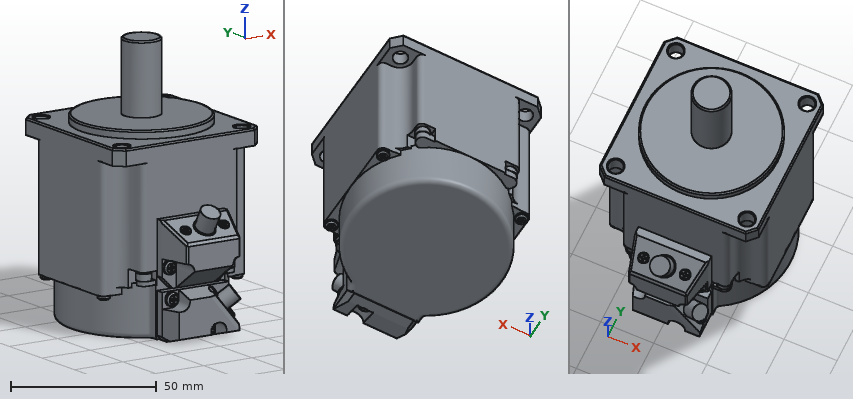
import cadquery as cq
import math

FLANGE_WIDTH = 60.0
HALF = FLANGE_WIDTH / 2
TOTAL_HEIGHT = 99.5

EMBED = 1.0
POSITION_TOLERANCE = 0.1

SHAFT_R = 7.0
PILOT_R = 25.0
PILOT_TOP = 72.4
FLANGE_TOP = 69.5
FLANGE_BOTTOM = 63.4
FLANGE_CORNER = 3.4
EDGE_CHAMFER = 0.6
BOLT_OFFSET = 24.8
BOLT_HOLE_R = 2.7
BOLT_HOLE_CHAMFER = 0.4
COUNTERSINK_ANGLE = 90.0

CORNER_WALL = 20.2
SCALLOP_OUTER_R = 2.2
SCALLOP_INNER_R = 5.3
HOUSING_BOTTOM = 18.2
SIDE_BOTTOM = 15.7
SIDE_HALF = 20.4
STRIP_BOTTOM = 19.7
POCKET_WALL = 22.9
POCKET_INNER_X = 13.9
POCKET_FLOOR = 21.4
POCKET_TOP = 24.8
EAR_R = 2.5

CAN_FILLET = 2.0
PAD_HALF = 14.2
PAD_FILLET = 1.5

CAP_SCREW_R = 2.7
CAP_SCREW_HEIGHT = 3.0
CAP_SCREW_CHAMFER = 0.3
CAP_SCREW_X = 17.2
CAP_SCREW_Y = 27.0
SIDE_SCREW_R = 2.2
SIDE_SCREW_HEIGHT = 1.6
SIDE_SCREW_X = 27.5
SIDE_SCREW_Y = 17.6
COVER_SCREW_R = 2.5
COVER_SCREW_HEIGHT = 1.8
CLAMP_SCREW_R = 1.9
CLAMP_SCREW_HEIGHT = 0.8
SCREW_CLEARANCE = 0.7

CONNECTOR_WIDTH = 27.6
CONNECTOR_HALF = CONNECTOR_WIDTH / 2
PLATE_THICKNESS = 3.1
SEAT_Y = -HALF - PLATE_THICKNESS

POWER_TOP = 43.1
POWER_BOTTOM = 18.6
POWER_FRONT_Y = -44.4
POWER_FRONT_HALF = 10.9
POWER_FRONT_BOTTOM = 26.6
POWER_NECK_HALF = 8.0
POWER_CORNER = 4.4
POWER_EDGE = 0.8
POWER_FRONT_EDGE = 0.5
POWER_TILT = 30.0
POWER_SCREW_X = 11.0
POWER_SCREW_Z = 26.4
POWER_CABLE_R = 3.6
POWER_CABLE_LENGTH = 7.4
POWER_COLLAR_R = 4.0
POWER_COLLAR_HEIGHT = 0.3
POWER_CABLE_Y = -38.7
POWER_CLAMP_X = 7.9

ENCODER_TOP = 17.8
ENCODER_FRONT_Y = -40.0
ENCODER_FRONT_LEFT = -11.4
ENCODER_FRONT_TOP = 15.5
ENCODER_FRONT_BOTTOM = 2.0
ENCODER_CORNER = 2.0
ENCODER_TURN = 40.0
ENCODER_LEAN = 20.0
ENCODER_EDGE_X = 1.7
ENCODER_BEVEL = 1.9
ENCODER_BEVEL_DEPTH = 0.5
ENCODER_SCREWS = [(-10.0, 15.0), (5.1, 2.8)]
ENCODER_CABLE_R = 3.2
ENCODER_CABLE_LENGTH = 5.8
ENCODER_CABLE_Y = -35.9
ENCODER_CABLE_X = 9.0
ENCODER_CLAMP_OFFSET = 5.5


def block(x0, x1, y0, y1, z0, z1):
    """Axis-aligned box between two opposite corners, given in any order."""
    size = (abs(x1 - x0), abs(y1 - y0), abs(z1 - z0))
    corner = (min(x0, x1), min(y0, y1), min(z0, z1))
    return cq.Workplane("XY").box(*size, centered=False).translate(corner)


def front_plane(y):
    """Plane at the given y that faces -Y, with local axes along +X and +Z."""
    return cq.Plane(origin=(0, y, 0), xDir=(1, 0, 0), normal=(0, -1, 0))


def trim(body, point, normal):
    """Remove everything on the normal side of a plane."""
    reach = 199.0
    plane = cq.Plane(origin=point, normal=normal)
    return body.cut(cq.Workplane(plane).rect(reach, reach).extrude(reach))


def screw(plane, radius, height):
    """Chamfered screw head with a cross recess, standing on the plane."""
    slot_length = 1.1 * radius
    slot_width = 0.3 * radius
    slot_depth = 0.4 * height
    rim_chamfer = 0.4 * height
    head = cq.Workplane(plane).workplane(offset=-EMBED / 2).circle(radius).extrude(height + EMBED / 2)
    head = head.faces(cq.selectors.DirectionMinMaxSelector(plane.zDir, True)).edges().chamfer(rim_chamfer)
    top = cq.Workplane(plane).workplane(offset=height - slot_depth)
    for length, width in ((slot_length, slot_width), (slot_width, slot_length)):
        head = head.cut(top.rect(length, width).extrude(height))
    return head


def shaft_and_flange():
    shaft = cq.Workplane("XY").workplane(offset=FLANGE_TOP - EMBED).circle(SHAFT_R)
    shaft = shaft.extrude(TOTAL_HEIGHT - FLANGE_TOP + EMBED).faces(">Z").chamfer(EDGE_CHAMFER)
    pilot = cq.Workplane("XY").workplane(offset=FLANGE_TOP - EMBED).circle(PILOT_R)
    pilot = pilot.extrude(PILOT_TOP - FLANGE_TOP + EMBED).faces(">Z").chamfer(EDGE_CHAMFER)
    flange = cq.Workplane("XY").workplane(offset=FLANGE_BOTTOM).rect(2 * HALF, 2 * HALF)
    flange = flange.extrude(FLANGE_TOP - FLANGE_BOTTOM).edges("|Z").chamfer(FLANGE_CORNER)
    flange = flange.faces(">Z").chamfer(EDGE_CHAMFER)
    flange = (
        flange.faces(">Z").workplane(origin=(0, 0, FLANGE_TOP))
        .rect(2 * BOLT_OFFSET, 2 * BOLT_OFFSET, forConstruction=True).vertices()
        .cskHole(2 * BOLT_HOLE_R, 2 * (BOLT_HOLE_R + BOLT_HOLE_CHAMFER), COUNTERSINK_ANGLE)
    )
    return flange.union(pilot).union(shaft)


def corner_radius(edge):
    """Distance of an upright edge from the motor axis."""
    return math.hypot(edge.Center().x, edge.Center().y)


def housing():
    body = block(-HALF, HALF, -HALF, HALF, SIDE_BOTTOM, FLANGE_BOTTOM)
    for sx in (-1, 1):
        for sy in (-1, 1):
            body = body.cut(block(sx * CORNER_WALL, sx * HALF, sy * CORNER_WALL, sy * HALF, 0, FLANGE_BOTTOM))

    outer_corners = math.hypot(CORNER_WALL, HALF)
    inner_edges = [edge for edge in body.edges("|Z").vals() if corner_radius(edge) < HALF]
    body = body.newObject(inner_edges).fillet(SCALLOP_INNER_R)
    outer_edges = [edge for edge in body.edges("|Z").vals()
                   if math.isclose(corner_radius(edge), outer_corners, abs_tol=POSITION_TOLERANCE)]
    body = body.newObject(outer_edges).fillet(SCALLOP_OUTER_R)

    for side in (-1, 1):
        body = body.cut(block(-HALF, HALF, side * SIDE_HALF, side * HALF, 0, HOUSING_BOTTOM))
    body = body.cut(block(-HALF, HALF, -HALF, -POCKET_WALL, 0, STRIP_BOTTOM))

    for sx in (-1, 1):
        for sy in (-1, 1):
            ear_x = (sx * POCKET_INNER_X, sx * CAP_SCREW_X)
            ear_y = (sy * POCKET_WALL, sy * (CAP_SCREW_Y + EAR_R))
            pocket_x = (sx * POCKET_INNER_X, sx * HALF)
            pocket_y = (sy * POCKET_WALL, sy * HALF)
            bottom = STRIP_BOTTOM if sy < 0 else HOUSING_BOTTOM
            ear = block(*ear_x, *ear_y, bottom, POCKET_FLOOR)
            ear = ear.union(
                cq.Workplane("XY").workplane(offset=bottom).center(sx * CAP_SCREW_X, sy * CAP_SCREW_Y)
                .circle(EAR_R).extrude(POCKET_FLOOR - bottom)
            )
            body = body.cut(block(*pocket_x, *pocket_y, HOUSING_BOTTOM, POCKET_TOP)).union(ear)
    return body


def encoder_can():
    can = cq.Workplane("XY").circle(HALF).extrude(STRIP_BOTTOM)
    can = can.union(block(-PAD_HALF, PAD_HALF, -HALF, 0, 0, STRIP_BOTTOM))
    joint_y = -math.sqrt(HALF**2 - PAD_HALF**2)
    joints = [edge for edge in can.edges("|Z").vals()
              if math.isclose(edge.Center().y, joint_y, abs_tol=POSITION_TOLERANCE)]
    can = can.newObject(joints).fillet(PAD_FILLET)
    return can.faces("<Z").edges().fillet(CAN_FILLET)


def housing_screws():
    heads = []
    for sx in (-1, 1):
        for sy in (-1, 1):
            head = cq.Workplane("XY").workplane(offset=POCKET_FLOOR)
            head = head.center(sx * CAP_SCREW_X, sy * CAP_SCREW_Y).circle(CAP_SCREW_R)
            heads.append(head.extrude(CAP_SCREW_HEIGHT).faces(">Z").chamfer(CAP_SCREW_CHAMFER))
            under = cq.Plane(origin=(sx * SIDE_SCREW_X, sy * SIDE_SCREW_Y, SIDE_BOTTOM), normal=(0, 0, -1))
            heads.append(screw(under, SIDE_SCREW_R, SIDE_SCREW_HEIGHT))
    return heads


def cover_screw(x, z):
    plane = front_plane(SEAT_Y)
    plane.origin = cq.Vector(x, SEAT_Y, z)
    return screw(plane, COVER_SCREW_R, COVER_SCREW_HEIGHT)


def screw_well(x, z):
    """Round clearance around a cover screw, in front of the mounting plate."""
    well = cq.Workplane(front_plane(SEAT_Y)).center(x, z).circle(COVER_SCREW_R + SCREW_CLEARANCE)
    return well.extrude(HALF)


def cable(plane, radius, length, clamp_offset):
    """Cable stub with a clamp screw on either side of it, along the plane's local x."""
    stub = cq.Workplane(plane).workplane(offset=-EMBED).circle(radius).extrude(length + EMBED)
    pieces = [stub]
    for offset in (-clamp_offset, clamp_offset):
        seat = cq.Plane(origin=plane.toWorldCoords((offset, 0, 0)), xDir=plane.xDir, normal=plane.zDir)
        pieces.append(screw(seat, CLAMP_SCREW_R, CLAMP_SCREW_HEIGHT))
    return pieces


def power_connector():
    tilt = math.radians(POWER_TILT)
    slope_normal = (0, -math.sin(tilt), math.cos(tilt))
    depth = SEAT_Y - POWER_FRONT_Y
    draft = CONNECTOR_HALF - POWER_FRONT_HALF
    outline = cq.Workplane(front_plane(-HALF + EMBED)).polyline([
        (-CONNECTOR_HALF, POWER_TOP), (CONNECTOR_HALF, POWER_TOP),
        (CONNECTOR_HALF, POWER_BOTTOM + POWER_CORNER), (CONNECTOR_HALF - POWER_CORNER, POWER_BOTTOM),
        (POWER_CORNER - CONNECTOR_HALF, POWER_BOTTOM), (-CONNECTOR_HALF, POWER_BOTTOM + POWER_CORNER),
    ]).close()
    body = outline.extrude(-HALF + EMBED - POWER_FRONT_Y)
    body = trim(body, (0, SEAT_Y, POWER_TOP), slope_normal)
    for side in (-1, 1):
        body = trim(body, (side * CONNECTOR_HALF, SEAT_Y, 0), (side * depth, -draft, 0))
    edges = body.faces(cq.selectors.DirectionMinMaxSelector(cq.Vector(slope_normal), True)).edges("not >Y")
    body = edges.chamfer(POWER_EDGE)
    body = trim(body, (0, SEAT_Y, POWER_BOTTOM), (0, POWER_BOTTOM - POWER_FRONT_BOTTOM, -depth))

    front_corners = cq.selectors.BoxSelector(
        (-CONNECTOR_HALF, POWER_FRONT_Y - EMBED, POWER_BOTTOM),
        (CONNECTOR_HALF, POWER_FRONT_Y + EMBED, POWER_TOP),
    )
    body = body.edges("|Z").edges(front_corners).chamfer(POWER_FRONT_EDGE)

    well_top = POWER_SCREW_Z + COVER_SCREW_R + SCREW_CLEARANCE
    for side in (-1, 1):
        x = side * POWER_SCREW_X
        beside = (x, side * HALF)
        below = (side * POWER_NECK_HALF, side * HALF)
        body = body.cut(screw_well(x, POWER_SCREW_Z))
        body = body.cut(block(*beside, 2 * SEAT_Y, SEAT_Y, POWER_SCREW_Z, well_top))
        body = body.cut(block(*below, 2 * SEAT_Y, SEAT_Y, 0, POWER_SCREW_Z))
        body = body.union(cover_screw(x, POWER_SCREW_Z))

    cable_z = POWER_TOP + (POWER_CABLE_Y - SEAT_Y) * math.tan(tilt)
    plane = cq.Plane(origin=(0, POWER_CABLE_Y, cable_z), xDir=(1, 0, 0), normal=slope_normal)
    collar = cq.Workplane(plane).workplane(offset=-EMBED).circle(POWER_COLLAR_R)
    body = body.union(collar.extrude(POWER_COLLAR_HEIGHT + EMBED))
    for piece in cable(plane, POWER_CABLE_R, POWER_CABLE_LENGTH, POWER_CLAMP_X):
        body = body.union(piece)
    return body


def encoder_connector():
    turn = math.radians(ENCODER_TURN)
    lean = math.radians(ENCODER_LEAN)
    depth = SEAT_Y - ENCODER_FRONT_Y
    across = (math.cos(turn), math.sin(turn))
    cable_normal = (across[0] * math.cos(lean), -math.sin(lean), across[1] * math.cos(lean))

    plate = block(-CONNECTOR_HALF, CONNECTOR_HALF, SEAT_Y, -HALF + EMBED, 0, ENCODER_TOP)
    plate = plate.edges("|Y").edges("<Z").chamfer(ENCODER_CORNER)
    body = block(-CONNECTOR_HALF, CONNECTOR_HALF, ENCODER_FRONT_Y, SEAT_Y + EMBED, 0, ENCODER_TOP)
    body = body.edges("|Y").edges("<Z").chamfer(ENCODER_CORNER)
    body = trim(body, (-CONNECTOR_HALF, SEAT_Y, 0), (-depth, -ENCODER_FRONT_LEFT - CONNECTOR_HALF, 0))
    body = trim(body, (0, SEAT_Y, ENCODER_TOP), (0, ENCODER_FRONT_TOP - ENCODER_TOP, depth))
    body = trim(body, (0, SEAT_Y, 0), (0, -ENCODER_FRONT_BOTTOM, -depth))

    edge = (ENCODER_EDGE_X, ENCODER_FRONT_Y, ENCODER_FRONT_TOP)
    bevel_normal = (across[0] * ENCODER_BEVEL_DEPTH, -ENCODER_BEVEL, across[1] * ENCODER_BEVEL_DEPTH)
    face_point = (edge[0] + across[0] * ENCODER_BEVEL, edge[1] + ENCODER_BEVEL_DEPTH,
                  edge[2] + across[1] * ENCODER_BEVEL)
    body = trim(body, edge, bevel_normal)
    body = trim(body, face_point, cable_normal)

    (left_x, left_z), (low_x, low_z) = ENCODER_SCREWS
    well_r = COVER_SCREW_R + SCREW_CLEARANCE
    for x, z in ENCODER_SCREWS:
        body = body.cut(screw_well(x, z))
    body = body.cut(block(-HALF, left_x, 2 * SEAT_Y, SEAT_Y, left_z - well_r, HALF))
    body = body.cut(block(-HALF, left_x + well_r, 2 * SEAT_Y, SEAT_Y, left_z, HALF))
    body = body.cut(block(low_x - well_r, low_x + well_r, 2 * SEAT_Y, SEAT_Y, 0, low_z))
    body = body.union(plate)
    for x, z in ENCODER_SCREWS:
        body = body.union(cover_screw(x, z))

    offset = (cable_normal[0] * (ENCODER_CABLE_X - face_point[0])
              + cable_normal[1] * (ENCODER_CABLE_Y - face_point[1]))
    cable_z = face_point[2] - offset / cable_normal[2]
    plane = cq.Plane(origin=(ENCODER_CABLE_X, ENCODER_CABLE_Y, cable_z),
                     xDir=(across[1], 0, -across[0]), normal=cable_normal)
    for piece in cable(plane, ENCODER_CABLE_R, ENCODER_CABLE_LENGTH, ENCODER_CLAMP_OFFSET):
        body = body.union(piece)
    return body


result = shaft_and_flange().union(housing()).union(encoder_can())
for head in housing_screws():
    result = result.union(head)
result = result.union(power_connector()).union(encoder_connector())